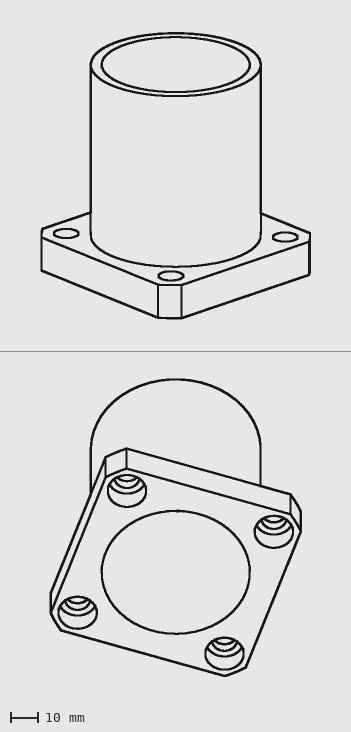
import cadquery as cq

total_height = 80.0
flange_width = 75.0
flange_thickness = 13.0
corner_diameter = 98.0
tube_outer_diameter = 62.0
bore_diameter = 54.0
bolt_hole_diameter = 9.0
bolt_spacing = 56.5
bolt_seat_thickness = 4.4
counterbore_diameter = 14.0
counterbore_depth = flange_thickness - bolt_seat_thickness


def make_flange():
    """Square plate whose corners are rounded by a circle about the tube axis."""
    square = cq.Workplane("XY").rect(flange_width, flange_width).extrude(flange_thickness)
    disc = cq.Workplane("XY").circle(corner_diameter / 2).extrude(flange_thickness)
    return square.intersect(disc)


def make_tube_body():
    """Solid cylinder standing through the full height."""
    return cq.Workplane("XY").circle(tube_outer_diameter / 2).extrude(total_height)


def make_bore():
    """Through bore along the tube axis."""
    return cq.Workplane("XY").circle(bore_diameter / 2).extrude(total_height)


def make_corner_pins(diameter, height):
    """Four cylinders rising from the flange underside on the bolt pattern."""
    return (
        cq.Workplane("XY")
        .rect(bolt_spacing, bolt_spacing, forConstruction=True)
        .vertices()
        .circle(diameter / 2)
        .extrude(height)
    )


def make_bolt_holes():
    """Four through holes, counterbored from the flange underside."""
    through_holes = make_corner_pins(bolt_hole_diameter, flange_thickness)
    counterbores = make_corner_pins(counterbore_diameter, counterbore_depth)
    return through_holes.union(counterbores)


result = make_flange().union(make_tube_body()).cut(make_bore()).cut(make_bolt_holes())